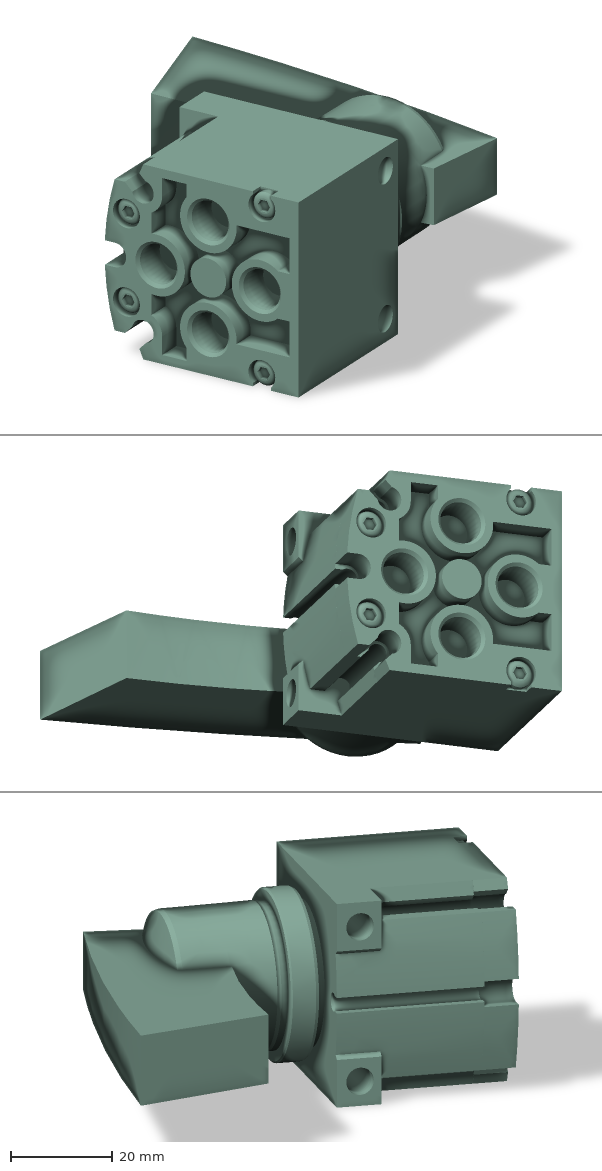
import cadquery as cq
import math


overall_x, overall_y, overall_z = 78.5, 86.6, 42.0
half_height = overall_z / 2
right_x = half_height
left_x = -24.2
plate_depth = 7.0
block_back = 37.3

wall_radius = 58.0
wall_half_height = 16.3
top_edge_x = -15.15
lip_x = -16.1
slot_x, slot_z = -15.2, 15.1
corner_slot_angle = 45
slot_reach = 6.9

lug_front = 28.15
lug_low_z = 10.4
lug_chamfer = 0.8
lug_inner_x = -13.5
lug_hole_diameter = 5.6
lug_hole_y, lug_hole_z = 32.6, 15.9

channel_diameter = 3.8
channel_mouth = 3.2
channel_x = -21.5
housing_lip_z = 18.0

plate_channel_diameter = 5.0
plate_channel_mouth = 4.25
plate_side_slot = 5.3
plate_side_slot_end_x = -19.1
plate_lip_z = 18.8

port_pitch_radius = 12.0
port_rim_diameter = 9.9
port_diameter = 8.6
port_end_diameter = 7.3
port_chamfer_depth = 0.7
port_wall_radius = 6.6
boss_diameter = 8.3
pocket_depth = 5.3
pocket_left_x = -13.25
pocket_arm_left_x, pocket_arm_right_x = -10.7, -5.0
pocket_arm_half_height = 19.05
pocket_right_x = 18.9
pocket_right_half_height = 12.8
right_rib_half_height = 5.1

screw_places = [(-19.05, 9.5), (12.5, 18.0)]
recess_diameter = 6.2
recess_depth = 2.9
head_diameter = 5.5
head_rim_diameter = 3.3
head_shoulder_y = 1.4
head_rim_y = 0.7
head_bulge = 0.2
socket_across_corners = 2.9
socket_depth = 1.0
recess_notch_width = 4.25

neck_diameter = 30.0
neck_end_diameter = 28.4
neck_cone_start = 46.2
hub_front = 47.0
key_reach, key_width = 16.4, 3.5
ring_diameter = 35.0
ring_front, ring_back = 39.05, 44.9
ring_chamfer = 0.35
ring_front_chamfer_length = 0.7
hub_front_diameter = 30.2
hub_shoulder_diameter = 29.7
hub_shoulder_y = 66.0
hub_edge_y = 67.0
hub_edge_radius = 14.55
hub_top_y = 69.2

lever_tip_x = right_x - overall_x
lever_butt_x = 19.1
lever_tip_width = 14.5
lever_butt_width = 12.1
lever_butt_y = 77.5
lever_top_middle = (-19.05, 83.65)
lever_butt_corner = (16.5, 57.9)
lever_root = (-13, 55.9)
lever_underside_middle = (-31.2, 58.1)
lever_tip_corner = (-49.5, 58.3)


def prism(section, y_start, y_end):
    """Extrude a section drawn with (X, Z) coordinates from y_start to y_end."""
    return section.extrude(y_start - y_end).translate((0, y_start, 0))


def sketch():
    return cq.Workplane("XZ")


def box(x_start, x_end, y_start, y_end, z_start, z_end):
    size = (x_end - x_start, y_end - y_start, z_end - z_start)
    return cq.Workplane("XY").box(*size, centered=False).translate((x_start, y_start, z_start))


def band(x_start, x_end, y_start, y_end, half_z):
    """Box centred on Z = 0."""
    return box(x_start, x_end, y_start, y_end, -half_z, half_z)


def rod(x, z, diameter, y_start, y_end):
    return prism(sketch().center(x, z).circle(diameter / 2), y_start, y_end)


def spin(profile):
    """Revolve a profile of (radius, Y) points about the Y axis."""
    return profile.close().revolve(360, (0, 0, 0), (0, 1, 0))


def wall_x(z):
    """X of the bowed left wall at height z."""
    return left_x + wall_radius - math.sqrt(wall_radius**2 - z**2)


def block_section(lip_z, y_start, y_end):
    """Block with a bowed left wall and two relieved left corners."""
    wall_end_x = wall_x(wall_half_height)
    shoulder_x = lip_x + wall_half_height - lip_z
    upper = [
        (top_edge_x, half_height),
        (lip_x, lip_z),
        (shoulder_x, wall_half_height),
        (wall_end_x, wall_half_height),
    ]
    lower = [(x, -z) for x, z in reversed(upper)]
    outline = (
        sketch()
        .polyline([(right_x, -half_height), (right_x, half_height)] + upper)
        .threePointArc((left_x, 0), lower[0])
        .polyline(lower[1:], includeCurrent=True)
        .close()
    )
    return prism(outline, y_start, y_end)


def open_slot(x, z, angle, diameter, mouth, y_start, y_end):
    """Round channel at (x, z) whose straight mouth runs out at the given angle above -X."""
    channel = rod(0, 0, diameter, y_start, y_end)
    mouth_cut = band(-slot_reach, 0, y_start, y_end, mouth / 2)
    return channel.union(mouth_cut).rotate((0, 0, 0), (0, 1, 0), angle).translate((x, 0, z))


def cut_corner_slots(body, diameter, mouth, span):
    """Cut the two slots that open through the left corners."""
    for side in (1, -1):
        angle = side * corner_slot_angle
        body = body.cut(open_slot(slot_x, side * slot_z, angle, diameter, mouth, *span))
    return body


def lug_pair():
    """Two lugs that fill the left corners behind the relieved stretch."""
    upper = sketch().polyline(
        [
            (left_x, half_height),
            (lug_inner_x, half_height),
            (lug_inner_x, lug_low_z),
            (wall_x(lug_low_z), lug_low_z),
            (left_x, lug_low_z + lug_chamfer),
        ]
    )
    lug = prism(upper.close(), lug_front, block_back)
    return lug.union(lug.mirror("XY"))


def make_housing():
    body = block_section(housing_lip_z, plate_depth, block_back)
    span = (plate_depth, block_back)
    body = cut_corner_slots(body, channel_diameter, channel_mouth, span)
    body = body.cut(open_slot(channel_x, 0, 0, channel_diameter, channel_mouth, *span))
    body = body.union(lug_pair())
    for side in (1, -1):
        hole = cq.Workplane("YZ").center(lug_hole_y, side * lug_hole_z).circle(lug_hole_diameter / 2)
        body = body.cut(hole.extrude(2 * half_height, both=True))

    neck_radius = neck_diameter / 2
    neck = spin(
        cq.Workplane("XY").polyline(
            [
                (0, block_back),
                (neck_radius, block_back),
                (neck_radius, neck_cone_start),
                (neck_end_diameter / 2, hub_front),
                (0, hub_front),
            ]
        )
    )
    key = band(0, key_reach, block_back, ring_front, key_width / 2)
    return body.union(neck).union(key)


def pocket():
    """Recess between the port walls, the centre boss and the plate rim."""
    room = band(pocket_left_x, 0, 0, pocket_depth, slot_z)
    arms = band(pocket_arm_left_x, pocket_arm_right_x, 0, pocket_depth, pocket_arm_half_height)
    right_room = band(0, pocket_right_x, 0, pocket_depth, pocket_right_half_height)
    rib = band(port_pitch_radius, pocket_right_x, 0, pocket_depth, right_rib_half_height)
    room = room.union(arms).union(right_room).cut(rib)
    slot_wall_diameter = 2 * (pocket_arm_left_x - slot_x)
    for side in (1, -1):
        room = room.cut(rod(slot_x, side * slot_z, slot_wall_diameter, 0, pocket_depth))
    for x, z in port_places():
        room = room.cut(rod(x, z, 2 * port_wall_radius, 0, pocket_depth))
    return room.cut(rod(0, 0, boss_diameter, 0, pocket_depth))


def port_places():
    r = port_pitch_radius
    return [(r, 0), (0, r), (-r, 0), (0, -r)]


def port_hole():
    """Chamfered, slightly tapered hole through the plate."""
    return spin(
        cq.Workplane("XY").polyline(
            [
                (0, 0),
                (port_rim_diameter / 2, 0),
                (port_diameter / 2, port_chamfer_depth),
                (port_end_diameter / 2, plate_depth),
                (0, plate_depth),
            ]
        )
    )


def screw_head():
    """Domed head with a hexagon socket, standing on the recess floor."""
    head_radius = head_diameter / 2
    rim_radius = head_rim_diameter / 2
    mid_radius = (head_radius + rim_radius) / 2
    mid_y = (head_shoulder_y + head_rim_y) / 2 - head_bulge
    dome = spin(
        cq.Workplane("XY")
        .moveTo(0, recess_depth)
        .lineTo(head_radius, recess_depth)
        .lineTo(head_radius, head_shoulder_y)
        .threePointArc((mid_radius, mid_y), (rim_radius, head_rim_y))
        .lineTo(0, head_rim_y)
    )
    socket = prism(sketch().polygon(6, socket_across_corners), head_rim_y, head_rim_y + socket_depth)
    return dome.cut(socket)


def screw_recess(x, z):
    """Round recess; one that reaches the top or bottom edge also opens through that edge."""
    recess = rod(x, z, recess_diameter, 0, recess_depth)
    if abs(z) + recess_diameter / 2 > half_height:
        low_z, high_z = sorted((z, math.copysign(half_height, z)))
        half_width = recess_notch_width / 2
        recess = recess.union(box(x - half_width, x + half_width, 0, recess_depth, low_z, high_z))
    return recess


def make_plate():
    plate = block_section(plate_lip_z, 0, plate_depth)
    span = (0, plate_depth)
    plate = cut_corner_slots(plate, plate_channel_diameter, plate_channel_mouth, span)
    side_slot_x = plate_side_slot_end_x - plate_side_slot / 2
    plate = plate.cut(open_slot(side_slot_x, 0, 0, plate_side_slot, plate_side_slot, *span))
    plate = plate.cut(pocket())
    for x, z in port_places():
        plate = plate.cut(port_hole().translate((x, 0, z)))
    for x, height in screw_places:
        for z in (height, -height):
            plate = plate.cut(screw_recess(x, z))
            plate = plate.union(screw_head().translate((x, 0, z)))
    return plate


def make_ring():
    ring = rod(0, 0, ring_diameter, ring_front, ring_back)
    ring = ring.faces("<Y").chamfer(ring_front_chamfer_length, ring_chamfer)
    ring = ring.faces(">Y").chamfer(ring_chamfer)
    return ring.cut(rod(0, 0, neck_diameter, ring_front, ring_back))


def hub():
    """Slightly tapered cylinder with a bevelled edge and a shallow domed end."""
    rise = hub_top_y - hub_edge_y
    dome_radius = (hub_edge_radius**2 + rise**2) / (2 * rise)
    mid_radius = hub_edge_radius / 2
    mid_y = hub_top_y - dome_radius + math.sqrt(dome_radius**2 - mid_radius**2)
    return spin(
        cq.Workplane("XY")
        .moveTo(0, hub_front)
        .lineTo(hub_front_diameter / 2, hub_front)
        .lineTo(hub_shoulder_diameter / 2, hub_shoulder_y)
        .lineTo(hub_edge_radius, hub_edge_y)
        .threePointArc((mid_radius, mid_y), (0, hub_top_y))
    )


def make_handle():
    """Hub with a curved lever that narrows from its tip to its butt."""
    side_shape = (
        cq.Workplane("XY")
        .moveTo(lever_tip_x, overall_y)
        .threePointArc(lever_top_middle, (lever_butt_x, lever_butt_y))
        .lineTo(*lever_butt_corner)
        .lineTo(*lever_root)
        .threePointArc(lever_underside_middle, lever_tip_corner)
        .close()
        .extrude(lever_tip_width, both=True)
    )
    plan = sketch().polyline(
        [
            (lever_tip_x, -lever_tip_width / 2),
            (lever_butt_x, -lever_butt_width / 2),
            (lever_butt_x, lever_butt_width / 2),
            (lever_tip_x, lever_tip_width / 2),
        ]
    )
    lever = side_shape.intersect(prism(plan.close(), hub_front, overall_y))
    return hub().union(lever)


housing = make_housing()
plate = make_plate()
ring = make_ring()
handle = make_handle()

result = cq.Compound.makeCompound([housing.val(), plate.val(), ring.val(), handle.val()])